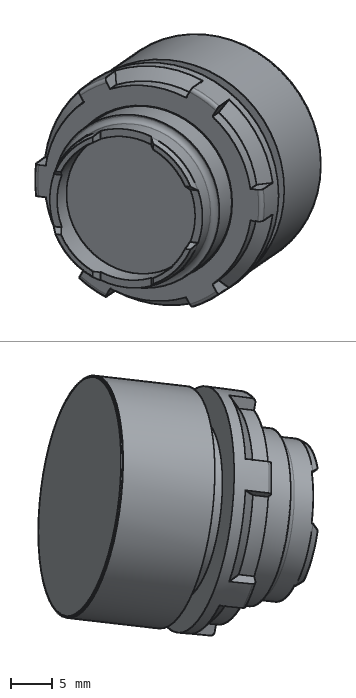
import cadquery as cq
import math


bezel_chamfer = 0.87
slot_depth = 1.0
bore_depth = 4.0
spigot_end = 3.48
barrel_front = 4.23
nut_front = 8.05
nut_height = 4.98
drum_front = 15.4
length = 27.4

bore_diameter = 18
tip_diameter = 19.3
spigot_diameter = 19.9
barrel_diameter = 21.7
drum_diameter = 29.5
nut_diameter = 30

rim_step = 0.2

nut_draft = 1.0
flange_thickness = 1.5
nut_edge_fillet = 0.5
nut_bore_chamfer = 0.12
tooth_count = 6
tooth_width = 4.0
notch_diameter = 27
notch_slope_length = 1.5

slot_floor_width = 6.6
slot_mouth_width = 7.9

nut_back = nut_front + nut_height
tooth_length = nut_height - flange_thickness


def turn(outline):
    """Turn a closed (radius, y) outline about the Y axis."""
    return outline.close().revolve(360, (0, 0, 0), (0, 1, 0))


def make_body():
    """Drum, barrel and spigot, with a concave cove between barrel and spigot."""
    spigot = spigot_diameter / 2
    barrel = barrel_diameter / 2
    drum = drum_diameter / 2

    cove_radius = barrel_front - spigot_end
    cove_end = spigot + cove_radius
    arc_inset = cove_radius * (1 - math.sqrt(0.5))
    cove_middle = (spigot + arc_inset, barrel_front - arc_inset)

    outline = (
        cq.Workplane("XY")
        .moveTo(0, 0)
        .lineTo(tip_diameter / 2, 0)
        .lineTo(spigot, bezel_chamfer)
        .lineTo(spigot, spigot_end)
        .threePointArc(cove_middle, (cove_end, barrel_front))
        .lineTo(barrel, barrel_front)
        .lineTo(barrel, drum_front)
        .lineTo(drum, drum_front)
        .lineTo(drum, length - rim_step)
        .lineTo(drum - rim_step, length - rim_step)
        .lineTo(drum - rim_step, length)
        .lineTo(0, length)
    )
    return turn(outline)


def make_bore():
    """Blind round recess in the front face."""
    return cq.Workplane("XZ").circle(bore_diameter / 2).extrude(-bore_depth)


def make_crown_slot():
    """Slot across the crown along Z: upright at its floor, then flared to the tip."""
    half_floor = slot_floor_width / 2
    half_mouth = slot_mouth_width / 2
    return (
        cq.Workplane("XY")
        .moveTo(-half_mouth, 0)
        .lineTo(-half_floor, bezel_chamfer)
        .lineTo(-half_floor, slot_depth)
        .lineTo(half_floor, slot_depth)
        .lineTo(half_floor, bezel_chamfer)
        .lineTo(half_mouth, 0)
        .close()
        .extrude(spigot_diameter, both=True)
    )


def make_nut():
    """Drafted ring with a rounded front edge and notches that leave six teeth."""
    bore_radius = barrel_diameter / 2
    back_radius = nut_diameter / 2
    slope = math.tan(math.radians(nut_draft))
    front_radius = back_radius - nut_height * slope
    flange_radius = back_radius - flange_thickness * slope
    notch_radius = notch_diameter / 2
    flange_front = nut_front + tooth_length

    blank = turn(
        cq.Workplane("XY")
        .moveTo(bore_radius + nut_bore_chamfer, nut_front)
        .lineTo(front_radius, nut_front)
        .lineTo(back_radius, nut_back)
        .lineTo(bore_radius, nut_back)
        .lineTo(bore_radius, nut_front + nut_bore_chamfer)
    )
    outer_front_edge = cq.selectors.RadiusNthSelector(-1)
    blank = blank.faces("<Y").edges(outer_front_edge).fillet(nut_edge_fillet)

    notch_ring = turn(
        cq.Workplane("XY")
        .moveTo(notch_radius, nut_front)
        .lineTo(nut_diameter, nut_front)
        .lineTo(nut_diameter, flange_front)
        .lineTo(flange_radius, flange_front)
        .lineTo(notch_radius, flange_front - notch_slope_length)
    )
    tooth_space = (
        cq.Workplane("XY")
        .box(nut_diameter, tooth_length, tooth_width, centered=(False, False, True))
        .translate((0, nut_front, 0))
    )
    for index in range(tooth_count):
        angle = index * 360 / tooth_count
        notch_ring = notch_ring.cut(tooth_space.rotate((0, 0, 0), (0, 1, 0), angle))
    return blank.cut(notch_ring)


body = make_body().cut(make_bore())
for slot_angle in (0, 90):
    body = body.cut(make_crown_slot().rotate((0, 0, 0), (0, 1, 0), slot_angle))

result = body.union(make_nut())